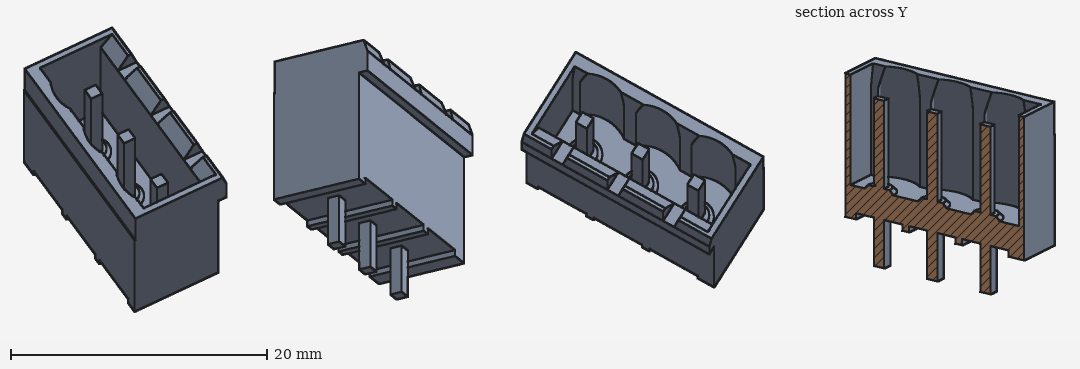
import cadquery as cq

length = 17.06
depth = 8.35
height = 15.5
housing_bottom = 3.51
back_wall_y = 7.6

lip_bottom = 12.76
lip_chamfer_depth = 0.34
bevel_drop = 1.02
front_step_depth = 0.07
bevel_bottom = height - bevel_drop

side_wall = 0.55
floor_z = 6.31
cavity_front_y = 1.15
cavity_back_y = 6.64
bevel_top_y = 7.68
front_bevel_depth = 0.3
front_bevel_drop = 1.88
cavity_length = length - 2 * side_wall

pitch = 5.07
contact_offset = 0.24
contact_y = 4.13
tail_y = 3.82
pin_size = 1.0
pin_top = 14.0
collar_radius = 1.38
collar_top_radius = 1.02
collar_height = 0.35
scallop_radius = 3.35
contact_xs = [contact_offset + i * pitch for i in (-1, 0, 1)]

notch_floor_width = 0.99
notch_top_width = 1.4

channel_height = 0.51
foot_width = 0.68
channel_width = pitch - foot_width


def box(x_min, x_max, y_min, y_max, z_min, z_max):
    """Axis-aligned box given by its limits."""
    size = (x_max - x_min, y_max - y_min, z_max - z_min)
    return cq.Workplane("XY").box(*size, centered=False).translate((x_min, y_min, z_min))


def extrude_along_x(profile, width):
    """Extrude a (Y, Z) profile symmetrically about X = 0."""
    return cq.Workplane("YZ").polyline(profile).close().extrude(width / 2, both=True)


def make_housing():
    """Solid body with the back lip and the front step."""
    return extrude_along_x(
        [
            (0, housing_bottom),
            (back_wall_y, housing_bottom),
            (back_wall_y, lip_bottom),
            (depth, lip_bottom),
            (depth, bevel_bottom),
            (depth - lip_chamfer_depth, height),
            (front_step_depth, height),
            (front_step_depth, lip_bottom),
            (0, lip_bottom),
        ],
        length,
    )


def make_cavity():
    """Open-topped cavity with bevelled back and front edges and round scallops."""
    front_wall_y = cavity_front_y + front_bevel_depth
    front_bevel_z = height - front_bevel_drop
    cavity = extrude_along_x(
        [
            (front_wall_y, floor_z),
            (cavity_back_y, floor_z),
            (cavity_back_y, bevel_bottom),
            (bevel_top_y, height),
            (cavity_front_y, height),
            (front_wall_y, front_bevel_z),
        ],
        cavity_length,
    )
    front_half = box(-cavity_length / 2, cavity_length / 2, 0, contact_y, floor_z, height)
    for x in contact_xs:
        scallop = (
            cq.Workplane("XY", origin=(x, contact_y, floor_z))
            .circle(scallop_radius)
            .extrude(height - floor_z)
        )
        cavity = cavity.union(scallop.intersect(front_half))
    return cavity


def make_notch(x):
    """Notch with sloping sides through the top of the back wall."""
    return (
        cq.Workplane("XZ", origin=(x, depth, 0))
        .moveTo(-notch_floor_width / 2, bevel_bottom)
        .lineTo(notch_floor_width / 2, bevel_bottom)
        .lineTo(notch_top_width / 2, height)
        .lineTo(-notch_top_width / 2, height)
        .close()
        .extrude(depth - cavity_back_y)
    )


def make_channel(x):
    """Channel below one contact, open at the front and back."""
    half = channel_width / 2
    return box(x - half, x + half, 0, depth, housing_bottom, housing_bottom + channel_height)


def make_contact(x):
    """Square pin with a conical collar on the cavity floor and a tail set slightly forward."""
    half = pin_size / 2
    pin = box(x - half, x + half, contact_y - half, contact_y + half, floor_z, pin_top)
    tail = box(x - half, x + half, tail_y - half, tail_y + half, 0, floor_z)
    collar = (
        cq.Workplane("XY", origin=(x, contact_y, floor_z))
        .circle(collar_radius)
        .workplane(offset=collar_height)
        .circle(collar_top_radius)
        .loft()
    )
    return pin.union(collar).union(tail)


result = make_housing().cut(make_cavity())
for contact_x in contact_xs:
    result = result.cut(make_notch(contact_x)).cut(make_channel(contact_x))
for contact_x in contact_xs:
    result = result.union(make_contact(contact_x))